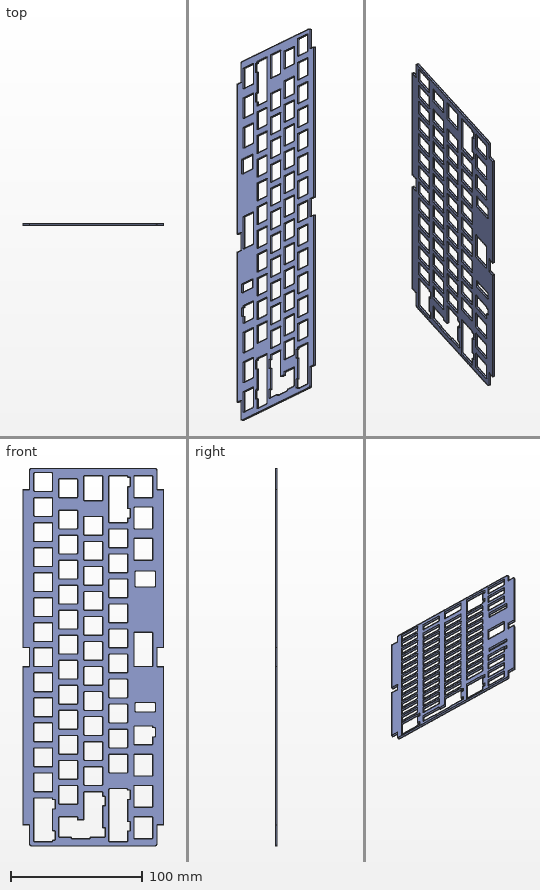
import cadquery as cq


KEY_UNIT = 19.05
ROW_UNITS = 15
ROW_COUNT = 5
EDGE_MARGIN = 0.95
THICKNESS = 1.5
PLATE_LENGTH = ROW_UNITS * KEY_UNIT + 2 * EDGE_MARGIN
BODY_WIDTH = ROW_COUNT * KEY_UNIT + 2 * EDGE_MARGIN
TAB_DEPTH = 5.0
PLATE_WIDTH = BODY_WIDTH + 2 * TAB_DEPTH
CORNER_RADIUS = 2.0

TAB_GAP = 14.5
TAB_END_INSET = 16.25
TAB_LENGTH = (PLATE_LENGTH - TAB_GAP) / 2 - TAB_END_INSET

SWITCH_SIZE = 14.13
OPENING_RADIUS = 0.5

STAB_WIDTH = 7.1
STAB_SHORT_SIDE = 6.25
STAB_LONG_SIDE = 9.1
STAB_LENGTH = STAB_SHORT_SIDE + STAB_LONG_SIDE
STAB_CENTER_OFFSET = (STAB_LONG_SIDE - STAB_SHORT_SIDE) / 2
STAB_REACH_2U = 11.94
STAB_REACH_SPACE_625 = 50.0
STAB_REACH_SPACE_7 = 57.15

ISO_ENTER = 14.375
ANSI_ENTER = 13.875
BACKSPACE = 14.0
LEFT_SHIFT = 1.125
RIGHT_SHIFT = 13.625
SPACE_625 = 6.875
SPACE_7 = 7.5


def run_of_keys(first, count):
    return [first + i for i in range(count)]


ROWS = [
    run_of_keys(0.5, 13) + [13.5, BACKSPACE, 14.5],
    [0.75] + run_of_keys(2.0, 12) + [14.25],
    [0.625, 0.875] + run_of_keys(2.25, 11) + [13.25, ANSI_ENTER],
    [0.625, LEFT_SHIFT, 1.75] + run_of_keys(2.75, 10) + [13.125, RIGHT_SHIFT, 14.125, 14.5],
    [0.625, 0.75, 1.875, 2.0, 3.125, 3.25, SPACE_625, SPACE_7]
    + [10.625, 11.75, 11.875, 13.0, 13.125, 14.25, 14.375],
]

STABILIZED_KEYS = [
    (0, BACKSPACE, STAB_REACH_2U),
    (2, ANSI_ENTER, STAB_REACH_2U),
    (3, LEFT_SHIFT, STAB_REACH_2U),
    (3, RIGHT_SHIFT, STAB_REACH_2U),
    (4, SPACE_625, STAB_REACH_SPACE_625),
    (4, SPACE_7, STAB_REACH_SPACE_7),
]


def row_x(row):
    return (row - (ROW_COUNT - 1) / 2) * KEY_UNIT


def key_z(units):
    return (ROW_UNITS / 2 - units) * KEY_UNIT


def block(x, z, width, height):
    return cq.Workplane("XY").box(width, THICKNESS, height).translate((x, 0, z))


def make_plate():
    plate = block(0, 0, BODY_WIDTH, PLATE_LENGTH).edges("|Y").fillet(CORNER_RADIUS)
    for side in (-1, 1):
        plate = plate.union(block(0, side * (TAB_GAP + TAB_LENGTH) / 2, PLATE_WIDTH, TAB_LENGTH))
    return plate


def switch_openings():
    return [
        block(row_x(row), key_z(units), SWITCH_SIZE, SWITCH_SIZE)
        for row, centres in enumerate(ROWS)
        for units in centres
    ]


def stabilizer_openings():
    openings = []
    for row, units, reach in STABILIZED_KEYS:
        for side in (-1, 1):
            x = row_x(row) + STAB_CENTER_OFFSET
            z = key_z(units) + side * reach
            openings.append(block(x, z, STAB_LENGTH, STAB_WIDTH))
    return openings


def iso_enter_openings():
    """The tall enter key spans rows 1 and 2; a wide opening clears its stabilizer, which lies along X."""
    switch_z = key_z(ISO_ENTER)
    left = row_x(1) - SWITCH_SIZE / 2
    right = row_x(2) + SWITCH_SIZE / 2
    top = switch_z + SWITCH_SIZE / 2
    bottom = key_z(ANSI_ENTER) - STAB_REACH_2U - STAB_WIDTH / 2
    return [
        block((row_x(1) + row_x(2)) / 2, switch_z, SWITCH_SIZE, SWITCH_SIZE),
        block((left + right) / 2, (top + bottom) / 2, right - left, top - bottom),
    ]


def merged(blocks):
    first = blocks[0].val()
    return first.fuse(*[b.val() for b in blocks[1:]]).clean()


def make_openings():
    openings = merged(switch_openings() + stabilizer_openings() + iso_enter_openings())
    return cq.Workplane(openings).edges("|Y").fillet(OPENING_RADIUS)


result = make_plate().cut(make_openings())